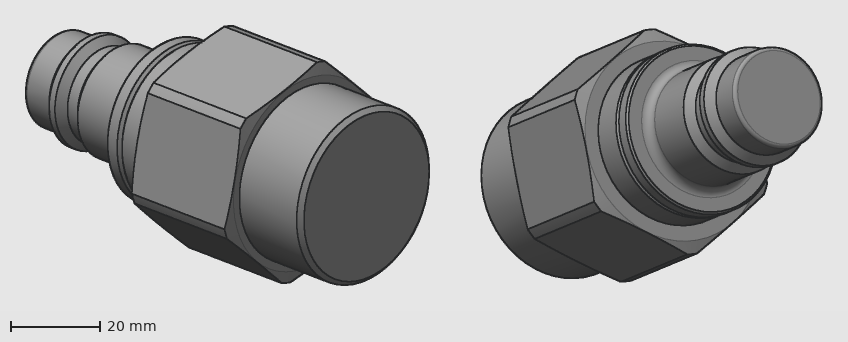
import cadquery as cq

total_length = 97.0

tip_diameter = 23.2
stem_diameter = 27.2
tip_round = 0.9
cone_length = (stem_diameter - tip_diameter) / 2
bead_start = 8.0
bead_flat = 1.8
stem_start = 17.0
stem_round = 2.1

collar_diameter = 39.0
shoulder_diameter = 38.8
collar_start = 33.95
collar_chamfer = 0.5
groove_middle = 38.2
groove_depth = 0.8

hex_start = 46.8
hex_length = 30.9
across_flats = 46.0
corner_diameter = 51.6
hex_face_diameter = 45.8
front_bevel = 0.9
rear_bevel = 0.7
hex_turn = -12.4

barrel_diameter = 41.9
barrel_chamfer = 1.2


def turned(profile):
    """Revolve a closed (X, radius) profile about the X axis."""
    return profile.close().revolve(360, (0, 0, 0), (1, 0, 0))


def make_plug():
    tip_radius = tip_diameter / 2
    stem_radius = stem_diameter / 2
    bead_top = bead_start + cone_length
    bead_end = bead_top + bead_flat
    profile = (
        cq.Workplane("XY")
        .lineTo(0, tip_radius - tip_round)
        .radiusArc((tip_round, tip_radius), tip_round)
        .lineTo(bead_start, tip_radius)
        .lineTo(bead_top, stem_radius)
        .lineTo(bead_end, stem_radius)
        .lineTo(bead_end + cone_length, tip_radius)
        .lineTo(stem_start, tip_radius)
        .lineTo(stem_start + cone_length, stem_radius)
        .lineTo(collar_start - stem_round, stem_radius)
        .radiusArc((collar_start, stem_radius + stem_round), -stem_round)
        .lineTo(collar_start, 0)
    )
    return turned(profile)


def make_collar():
    collar_radius = collar_diameter / 2
    shoulder_radius = shoulder_diameter / 2
    groove_radius = collar_radius - groove_depth
    profile = (
        cq.Workplane("XY")
        .moveTo(collar_start, 0)
        .lineTo(collar_start, collar_radius - collar_chamfer)
        .lineTo(collar_start + collar_chamfer, collar_radius)
        .lineTo(groove_middle - groove_depth, collar_radius)
        .lineTo(groove_middle, groove_radius)
        .lineTo(groove_middle + shoulder_radius - groove_radius, shoulder_radius)
        .lineTo(hex_start, shoulder_radius)
        .lineTo(hex_start, 0)
    )
    return turned(profile)


def make_hexagon():
    prism = (
        cq.Workplane("YZ")
        .polygon(6, across_flats, circumscribed=True)
        .extrude(hex_length)
        .rotate((0, 0, 0), (1, 0, 0), hex_turn)
        .translate((hex_start, 0, 0))
    )
    hex_end = hex_start + hex_length
    face_radius = hex_face_diameter / 2
    corner_radius = corner_diameter / 2
    blank_profile = (
        cq.Workplane("XY")
        .moveTo(hex_start, 0)
        .lineTo(hex_start, face_radius)
        .lineTo(hex_start + front_bevel, corner_radius)
        .lineTo(hex_end - rear_bevel, corner_radius)
        .lineTo(hex_end, face_radius)
        .lineTo(hex_end, 0)
    )
    return prism.intersect(turned(blank_profile))


def make_barrel():
    barrel_start = hex_start + hex_length
    return (
        cq.Workplane("YZ", origin=(barrel_start, 0, 0))
        .circle(barrel_diameter / 2)
        .extrude(total_length - barrel_start)
        .faces(">X")
        .chamfer(barrel_chamfer)
    )


result = make_plug().union(make_collar()).union(make_hexagon()).union(make_barrel())